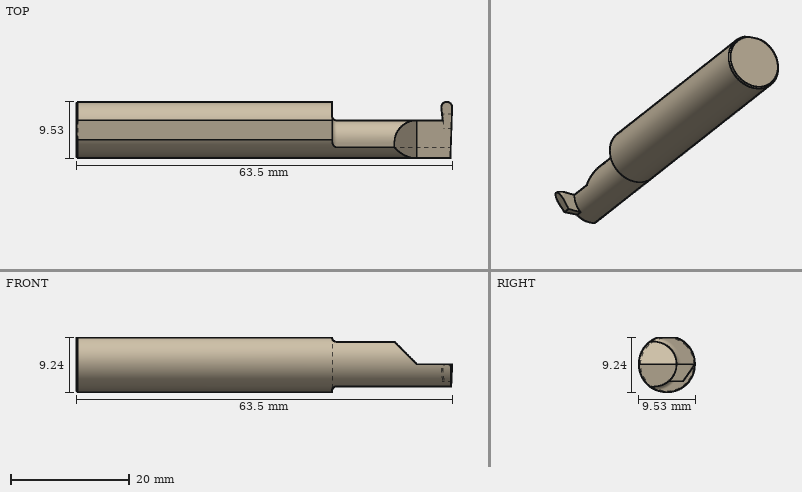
import cadquery as cq
import math


overall_length = 63.5
shank_diameter = 9.525
shank_radius = shank_diameter / 2
shank_length = 43.18
shank_chamfer = 0.25
flat_height = 4.477

neck_radius = 3.78
neck_side_y = 1.64
neck_center_y = neck_side_y - neck_radius
shoulder_fillet = 0.76
edge_tolerance = 0.01

seat_start = 57.5
ramp_angle = 45.0
front_clearance = 2.0
hook_tip_radius = 0.94
hook_back_angle = 6.0
hook_depth = 2.87
hook_relief_angle = 35.0
hook_side_relief = 2.0

tip_center_x = overall_length - hook_tip_radius
tip_center_y = shank_radius - hook_tip_radius
beyond_end = overall_length + shank_diameter


def tip_point(angle):
    """Point on the round tip of the hook, at an angle in degrees from +X."""
    a = math.radians(angle)
    return (tip_center_x + hook_tip_radius * math.cos(a), tip_center_y + hook_tip_radius * math.sin(a))


def front_point(y):
    """Point at a given y on the sloping end face, which is tangent to the hook tip."""
    x, tangent_y = tip_point(-front_clearance)
    return (x - (tangent_y - y) * math.tan(math.radians(front_clearance)), y)


def rear_point(y):
    """Point at a given y on the rear flank of the hook, which is tangent to the hook tip."""
    x, tangent_y = tip_point(180 + hook_back_angle)
    return (x + (tangent_y - y) * math.tan(math.radians(hook_back_angle)), y)


def make_shank():
    """Round shank with a chamfered rear end, running the full length."""
    shank = cq.Workplane("YZ").circle(shank_radius).extrude(overall_length)
    return shank.faces("<X").chamfer(shank_chamfer)


def clamping_flat_cut():
    """Material above the flat along the top of the shank."""
    flat_plane = cq.Workplane("XY", origin=(0, 0, flat_height))
    return flat_plane.rect(2 * overall_length, shank_diameter).extrude(shank_radius)


def neck_surround():
    """Material removed around the neck, leaving a fillet at the shoulder."""
    margin_size = 2 * shank_diameter
    removal_length = overall_length - shank_length
    shoulder_plane = cq.Workplane("YZ", origin=(shank_length, 0, 0))
    block = shoulder_plane.rect(margin_size, margin_size).extrude(removal_length)
    core = (
        shoulder_plane
        .moveTo(-margin_size, -neck_radius)
        .lineTo(neck_center_y, -neck_radius)
        .threePointArc((neck_side_y, 0), (neck_center_y, neck_radius))
        .lineTo(-margin_size, neck_radius)
        .close()
        .extrude(removal_length)
    )
    plate_size = 3 * margin_size
    plate = shoulder_plane.rect(plate_size, plate_size).extrude(-shank_length)
    root_edges = cq.selectors.BoxSelector(
        (shank_length - edge_tolerance, -margin_size, -shank_radius),
        (shank_length + edge_tolerance, margin_size, shank_radius),
    )
    return block.cut(core.union(plate).edges(root_edges).fillet(shoulder_fillet))


def seat_cut():
    """Everything above the cutting plane, ending in a ramp up to the neck."""
    rise = shank_diameter
    ramp_run = rise / math.tan(math.radians(ramp_angle))
    return (
        cq.Workplane("XZ")
        .polyline([(seat_start, 0), (beyond_end, 0), (beyond_end, rise), (seat_start - ramp_run, rise)])
        .close()
        .extrude(shank_diameter, both=True)
    )


def end_cut():
    """Material in front of the sloping end face."""
    return (
        cq.Workplane("XY")
        .polyline([
            front_point(-shank_diameter),
            front_point(shank_diameter),
            (beyond_end, shank_diameter),
            (beyond_end, -shank_diameter),
        ])
        .close()
        .extrude(shank_diameter, both=True)
    )


def make_hook():
    """Round-nosed cutting hook, leaning inwards and undercut below the cutting plane."""
    root_y = neck_center_y
    plan = (
        cq.Workplane("XY")
        .moveTo(*front_point(root_y))
        .lineTo(*tip_point(-front_clearance))
        .threePointArc(tip_point(90), tip_point(180 + hook_back_angle))
        .lineTo(*rear_point(root_y))
        .close()
        .extrude(-hook_depth, taper=hook_side_relief)
    )
    undercut = hook_depth * math.tan(math.radians(hook_relief_angle))
    relief = (
        cq.Workplane("YZ")
        .polyline([
            (shank_radius, 0),
            (shank_radius - undercut, -hook_depth),
            (shank_radius, -hook_depth),
        ])
        .close()
        .extrude(overall_length)
    )
    return plan.cut(relief)


bar = make_shank().cut(clamping_flat_cut()).cut(neck_surround()).cut(seat_cut()).cut(end_cut())
result = bar.union(make_hook())